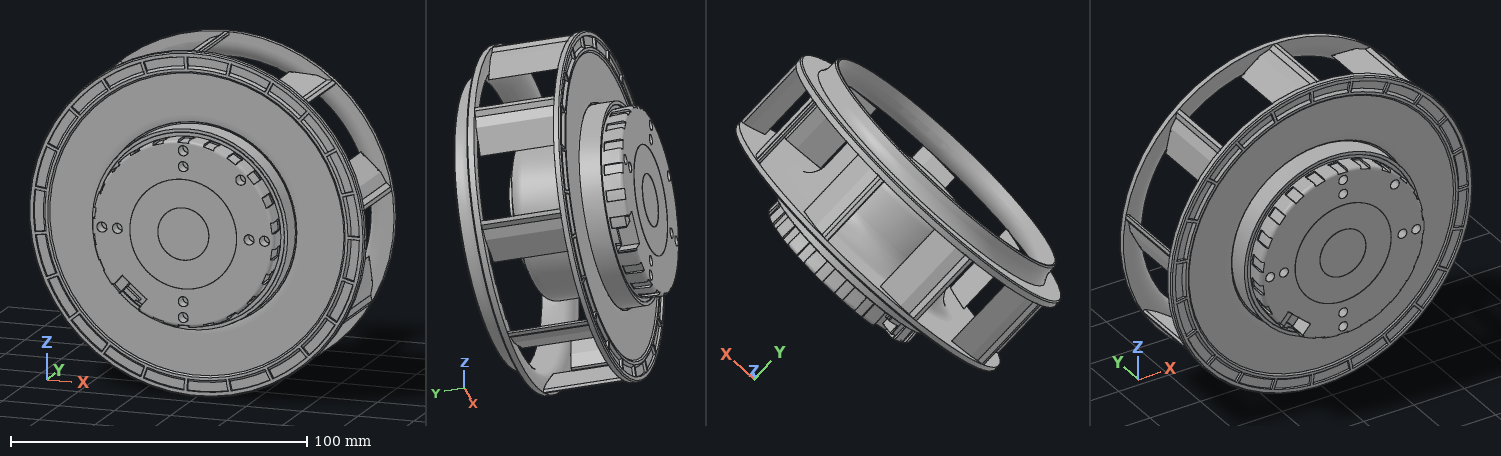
import cadquery as cq
import math


IMPELLER_RADIUS = 60.0
BACK_RIM_Y = 13.5
BACK_DISC_TOP_Y = 15.8
SHROUD_Y = 43.9
SHROUD_TOP_Y = 46.5
INLET_END_Y = 54.0
EDGE_BREAK = 0.5

SUNK_DEPTH = 0.5
SUNK_RADIUS = 52.5
SUNK_TAPER = 0.6
BALANCE_COUNT = 23
BALANCE_INNER_RADIUS = 54.1
BALANCE_OUTER_RADIUS = 58.2
BALANCE_DEPTH = 1.0
BALANCE_DRAFT = 0.8
BALANCE_RIB = 1.1

HUB_RADIUS = 28.9
HUB_END_Y = 41.4
HUB_EDGE_RADIUS = 4.5
HUB_FLARE_RADIUS = 9.0
MOTOR_SEAT_Y = 14.9
BOSS_RADIUS = 19.1
BOSS_STEP = 0.5
BOSS_STEP_Y = 43.2
BOSS_END_Y = 44.4

INLET_RADIUS = 50.8
INLET_WALL = 1.0
INLET_FLARE_RADIUS = 6.5
INLET_STRAIGHT_Y = 50.6

BLADE_COUNT = 9
BLADE_INNER_EDGE = (-13.5, 51.2)
BLADE_OUTER_BEND = (-5.8, 57.1)
BLADE_TIP_FOOT = (-2.0, 58.5)
BLADE_UNDER_BEND = (-3.4, 56.0)
BLADE_TIP_RADIUS = 59.9
BLADE_TIP_X = -0.5
BLADE_TIP_WIDTH = 1.5
BLADE_TIP_HEIGHT = 1.1

BASE_RADIUS = 32.6
BASE_TOP_RADIUS = 32.3
BASE_EDGE_RADIUS = 1.3
FLANGE_RADIUS = 34.9
FLANGE_Y = 7.0
FLANGE_LIP = 1.2
FLANGE_GROOVE_DEPTH = 0.6
SEAT_CLEARANCE = 0.6

VENT_COUNT = 22
VENT_WIDTH = 3.7
VENT_DEPTH = 0.8
VENT_TOP_Y = 6.6

HOLE_ROW_COUNT = 4
HOLE_DIAMETER = 3.5
HOLE_DEPTH = 4.8
INNER_HOLE_RADIUS = 23.5
OUTER_HOLE_RADIUS = 29.0
EXTRA_HOLE_ANGLE = 45.0

FACE_STEP = 0.1
FACE_STEP_RADII = (19.1, 9.1)

SOCKET_ANGLE = 229.0
SOCKET_WIDTH = 11.6
SOCKET_INNER_DISTANCE = 26.5
SOCKET_DEPTH = 6.6
SOCKET_SHELF_WIDTH = 3.4
SOCKET_SHELF_DEPTH = 1.5
SOCKET_WALL_WIDTH = 6.2
SOCKET_WALL_THICKNESS = 1.7
SOCKET_WALL_DISTANCE = 30.7
SOCKET_WALL_Y = 4.9


def plane_at(y):
    """Workplane across the axis at height y, with local axes X and Z."""
    return cq.Workplane("XZ", origin=(0, y, 0))


def disc(radius, y_start, y_end):
    return plane_at(y_start).circle(radius).extrude(y_start - y_end)


def revolve(profile):
    """Turn a closed (radius, Y) profile about the Y axis."""
    return profile.close().revolve(360, (0, 0, 0), (0, 1, 0))


def around_axis(shape, angle):
    """Turn a shape about the Y axis, from +X toward +Z for a positive angle."""
    return shape.rotate((0, 0, 0), (0, 1, 0), -angle)


def arc_middle(centre, radius, start_angle, end_angle):
    angle = math.radians((start_angle + end_angle) / 2)
    return (centre[0] + radius * math.cos(angle), centre[1] + radius * math.sin(angle))


def make_hub_and_back_disc():
    disc_face_y = BACK_RIM_Y + SUNK_DEPTH
    flare_centre = (HUB_RADIUS + HUB_FLARE_RADIUS, BACK_DISC_TOP_Y + HUB_FLARE_RADIUS)
    recess_flare_radius = flare_centre[1] - disc_face_y
    seat_radius = FLANGE_RADIUS + SEAT_CLEARANCE
    seat_offset = flare_centre[0] - seat_radius
    seat_edge_y = flare_centre[1] - math.sqrt(recess_flare_radius**2 - seat_offset**2)
    recess_angle = 270 - math.degrees(math.asin(seat_offset / recess_flare_radius))
    dome_centre = (HUB_RADIUS - HUB_EDGE_RADIUS, HUB_END_Y - HUB_EDGE_RADIUS)

    profile = (
        cq.Workplane("XY")
        .moveTo(0, MOTOR_SEAT_Y)
        .lineTo(seat_radius, MOTOR_SEAT_Y)
        .lineTo(seat_radius, seat_edge_y)
        .threePointArc(
            arc_middle(flare_centre, recess_flare_radius, recess_angle, 270),
            (flare_centre[0], disc_face_y),
        )
        .lineTo(SUNK_RADIUS, disc_face_y)
        .lineTo(SUNK_RADIUS + SUNK_TAPER, BACK_RIM_Y)
        .lineTo(IMPELLER_RADIUS - EDGE_BREAK, BACK_RIM_Y)
        .lineTo(IMPELLER_RADIUS, BACK_RIM_Y + EDGE_BREAK)
        .lineTo(IMPELLER_RADIUS, BACK_DISC_TOP_Y)
        .lineTo(flare_centre[0], BACK_DISC_TOP_Y)
        .threePointArc(
            arc_middle(flare_centre, HUB_FLARE_RADIUS, 180, 270),
            (HUB_RADIUS, flare_centre[1]),
        )
        .lineTo(HUB_RADIUS, dome_centre[1])
        .threePointArc(
            arc_middle(dome_centre, HUB_EDGE_RADIUS, 0, 90),
            (dome_centre[0], HUB_END_Y),
        )
        .lineTo(BOSS_RADIUS, HUB_END_Y)
        .lineTo(BOSS_RADIUS, BOSS_STEP_Y)
        .lineTo(BOSS_RADIUS - BOSS_STEP, BOSS_STEP_Y)
        .lineTo(BOSS_RADIUS - BOSS_STEP, BOSS_END_Y)
        .lineTo(0, BOSS_END_Y)
    )
    return revolve(profile)


def make_balance_pockets():
    """Ring of shallow pockets in the rim, parted by narrow ribs."""
    floor_y = BACK_RIM_Y + BALANCE_DEPTH
    pockets = revolve(
        cq.Workplane("XY")
        .moveTo(BALANCE_INNER_RADIUS, BACK_RIM_Y)
        .lineTo(BALANCE_OUTER_RADIUS, BACK_RIM_Y)
        .lineTo(BALANCE_OUTER_RADIUS, floor_y)
        .lineTo(BALANCE_INNER_RADIUS + BALANCE_DRAFT, floor_y)
    )
    rib = cq.Workplane("XY").box(
        IMPELLER_RADIUS, BALANCE_DEPTH, BALANCE_RIB, centered=(False, False, True)
    )
    rib = rib.translate((0, BACK_RIM_Y, 0))
    for index in range(BALANCE_COUNT):
        pockets = pockets.cut(around_axis(rib, index * 360 / BALANCE_COUNT))
    return pockets


def make_shroud():
    """Front ring whose inside curves into the inlet ring."""
    flare_centre = (INLET_RADIUS + INLET_FLARE_RADIUS, INLET_STRAIGHT_Y)
    throat_radius = INLET_RADIUS - INLET_WALL
    inner_flare_radius = INLET_STRAIGHT_Y - SHROUD_Y
    mouth_radius = throat_radius + inner_flare_radius
    outer_angle = 180 + math.degrees(
        math.asin((INLET_STRAIGHT_Y - SHROUD_TOP_Y) / INLET_FLARE_RADIUS)
    )
    foot_radius = arc_middle(flare_centre, INLET_FLARE_RADIUS, outer_angle, outer_angle)[0]

    profile = (
        cq.Workplane("XY")
        .moveTo(mouth_radius, SHROUD_Y)
        .lineTo(IMPELLER_RADIUS, SHROUD_Y)
        .lineTo(IMPELLER_RADIUS, SHROUD_TOP_Y - EDGE_BREAK)
        .lineTo(IMPELLER_RADIUS - EDGE_BREAK, SHROUD_TOP_Y)
        .lineTo(foot_radius, SHROUD_TOP_Y)
        .threePointArc(
            arc_middle(flare_centre, INLET_FLARE_RADIUS, outer_angle, 180),
            (INLET_RADIUS, INLET_STRAIGHT_Y),
        )
        .lineTo(INLET_RADIUS, INLET_END_Y - EDGE_BREAK)
        .lineTo(INLET_RADIUS - EDGE_BREAK, INLET_END_Y)
        .lineTo(throat_radius, INLET_END_Y)
        .lineTo(throat_radius, INLET_STRAIGHT_Y)
        .threePointArc(
            arc_middle((mouth_radius, INLET_STRAIGHT_Y), inner_flare_radius, 180, 270),
            (mouth_radius, SHROUD_Y),
        )
    )
    return revolve(profile)


def make_blade():
    """Blade at the top: a bent wedge that ends in an upright tip just inside the rim."""
    tip_right_x = BLADE_TIP_X + BLADE_TIP_WIDTH
    left_tip_z = math.sqrt(BLADE_TIP_RADIUS**2 - BLADE_TIP_X**2)
    right_tip_z = math.sqrt(BLADE_TIP_RADIUS**2 - tip_right_x**2)
    return (
        plane_at(BACK_DISC_TOP_Y)
        .moveTo(*BLADE_INNER_EDGE)
        .lineTo(*BLADE_OUTER_BEND)
        .lineTo(*BLADE_TIP_FOOT)
        .lineTo(BLADE_TIP_X, left_tip_z)
        .threePointArc((0, BLADE_TIP_RADIUS), (tip_right_x, right_tip_z))
        .lineTo(tip_right_x, BLADE_TIP_RADIUS - BLADE_TIP_HEIGHT)
        .lineTo(*BLADE_UNDER_BEND)
        .close()
        .extrude(BACK_DISC_TOP_Y - SHROUD_Y)
    )


def make_impeller():
    impeller = make_hub_and_back_disc().cut(make_balance_pockets())
    blade = make_blade()
    for index in range(BLADE_COUNT):
        impeller = impeller.union(around_axis(blade, index * 360 / BLADE_COUNT))
    return impeller.union(make_shroud())


def make_vents():
    """Shallow notches around the side of the base, open at the mounting face."""
    floor_radius = BASE_RADIUS - VENT_DEPTH
    ring = disc(FLANGE_RADIUS, 0, VENT_TOP_Y).cut(disc(floor_radius, 0, VENT_TOP_Y))
    slot = cq.Workplane("XY").box(
        FLANGE_RADIUS, VENT_TOP_Y, VENT_WIDTH, centered=(False, False, True)
    )
    slots = cq.Workplane("XY")
    for index in range(VENT_COUNT):
        slots = slots.add(around_axis(slot, 90 + index * 360 / VENT_COUNT))
    return ring.intersect(slots.combine())


def make_mounting_holes():
    """Four rows of two holes, and one more hole between two rows."""

    def drill(radius):
        return disc(HOLE_DIAMETER / 2, 0, HOLE_DEPTH).translate((radius, 0, 0))

    hole_row = drill(INNER_HOLE_RADIUS).union(drill(OUTER_HOLE_RADIUS))
    holes = around_axis(drill(OUTER_HOLE_RADIUS), EXTRA_HOLE_ANGLE)
    for row in range(HOLE_ROW_COUNT):
        holes = holes.union(around_axis(hole_row, row * 360 / HOLE_ROW_COUNT))
    return holes


def make_socket():
    """Connector pocket, built along +X and then turned to its place."""

    def block(x_start, z_start, width, y_start, y_end, length):
        solid = cq.Workplane("XY").box(length, y_end - y_start, width, centered=False)
        return solid.translate((x_start, y_start, z_start))

    reach = FLANGE_RADIUS - SOCKET_INNER_DISTANCE
    shelf_z = -SOCKET_WIDTH / 2
    deep_z = shelf_z + SOCKET_SHELF_WIDTH
    deep = block(
        SOCKET_INNER_DISTANCE, deep_z, SOCKET_WIDTH - SOCKET_SHELF_WIDTH, 0, SOCKET_DEPTH, reach
    )
    shelf = block(
        SOCKET_INNER_DISTANCE, shelf_z, SOCKET_SHELF_WIDTH, 0, SOCKET_SHELF_DEPTH, reach
    )
    wall = block(
        SOCKET_WALL_DISTANCE, deep_z, SOCKET_WALL_WIDTH,
        SOCKET_WALL_Y, SOCKET_DEPTH, SOCKET_WALL_THICKNESS,
    )
    return around_axis(deep.union(shelf).cut(wall), SOCKET_ANGLE)


def make_motor():
    groove_y = FLANGE_Y + FLANGE_GROOVE_DEPTH
    edge_centre = (BASE_RADIUS - BASE_EDGE_RADIUS, BASE_EDGE_RADIUS)
    lip_radius = FLANGE_RADIUS - FLANGE_LIP
    profile = (
        cq.Workplane("XY")
        .moveTo(0, 0)
        .lineTo(BASE_RADIUS - BASE_EDGE_RADIUS, 0)
        .threePointArc(
            arc_middle(edge_centre, BASE_EDGE_RADIUS, 270, 360),
            (BASE_RADIUS, BASE_EDGE_RADIUS),
        )
        .lineTo(BASE_TOP_RADIUS, groove_y)
        .lineTo(lip_radius, groove_y)
        .lineTo(lip_radius, FLANGE_Y)
        .lineTo(FLANGE_RADIUS, FLANGE_Y)
        .lineTo(FLANGE_RADIUS, MOTOR_SEAT_Y)
        .lineTo(0, MOTOR_SEAT_Y)
    )
    motor = revolve(profile)
    motor = motor.cut(make_vents()).cut(make_mounting_holes()).cut(make_socket())
    for level, radius in enumerate(FACE_STEP_RADII, start=1):
        motor = motor.cut(disc(radius, 0, level * FACE_STEP))
    return motor


impeller = make_impeller()
motor = make_motor()
result = cq.Compound.makeCompound([impeller.val(), motor.val()])